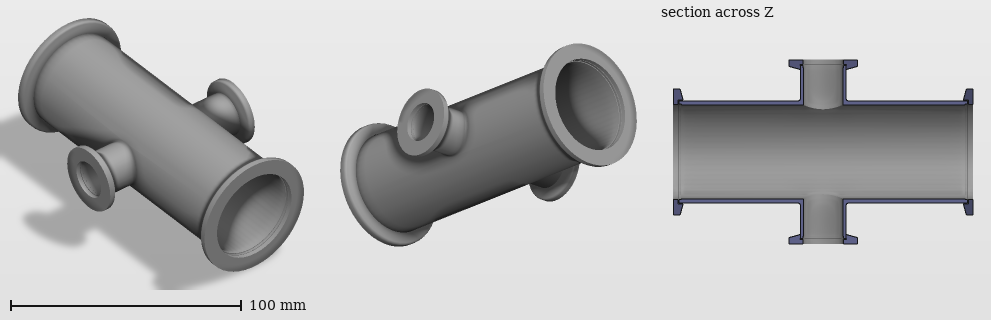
import cadquery as cq
import math

RUN_LENGTH = 130.0
BRANCH_SPAN = 80.0
RUN_OD = 44.5
RUN_ID = 40.5
BRANCH_OD = 20.0
BRANCH_ID = 17.0
JUNCTION_FILLET = 0.9

RUN_FLANGE_OD = 55.0
RUN_FLANGE_BORE = 41.2
RUN_SOCKET_DIAMETER = 44.7
RUN_RIM_RADIUS = 1.2
RUN_FLANGE_THICKNESS = 4.4
BRANCH_FLANGE_OD = 30.0
BRANCH_FLANGE_BORE = 17.2
BRANCH_SOCKET_DIAMETER = 20.2
BRANCH_RIM_RADIUS = 0.85
BRANCH_FLANGE_THICKNESS = 4.3
FLANGE_BACK_ANGLE = 15.0

SOCKET_FLOOR = 2.1
SOCKET_GAP = 0.3
PIPE_END = SOCKET_FLOOR + SOCKET_GAP
PIPE_STEP = 3.5


def centred_cylinder(plane, diameter, length):
    """Cylinder centred on the origin, along the normal of the plane."""
    return cq.Workplane(plane).circle(diameter / 2).extrude(length / 2, both=True)


def end_counterbores(plane, diameter, span):
    """Two discs that widen the pipe ends to the flange bore, down to the step."""
    core = centred_cylinder(plane, diameter, span - 2 * PIPE_STEP)
    return centred_cylinder(plane, diameter, span).cut(core)


def make_cross_pipe():
    """Hollow pipe with a filleted branch on each side, ending just short of the socket floors."""
    run_pipe_length = RUN_LENGTH - 2 * PIPE_END
    branch_pipe_length = BRANCH_SPAN - 2 * PIPE_END
    run = centred_cylinder("YZ", RUN_OD, run_pipe_length)
    branches = centred_cylinder("XZ", BRANCH_OD, branch_pipe_length)
    body = run.union(branches)

    junction_zone = cq.selectors.BoxSelector(
        (-BRANCH_OD, -RUN_OD / 2, -BRANCH_OD),
        (BRANCH_OD, RUN_OD / 2, BRANCH_OD),
    )
    body = body.edges(junction_zone).fillet(JUNCTION_FILLET)

    body = body.cut(centred_cylinder("YZ", RUN_ID, run_pipe_length))
    body = body.cut(centred_cylinder("XZ", BRANCH_ID, branch_pipe_length))
    body = body.cut(end_counterbores("YZ", RUN_FLANGE_BORE, RUN_LENGTH))
    return body.cut(end_counterbores("XZ", BRANCH_FLANGE_BORE, BRANCH_SPAN))


def make_flange(outer_diameter, bore, socket_diameter, rim_radius, thickness):
    """Flange revolved about Z, with its sealing face at Z = 0 and its back towards +Z."""
    outer_radius = outer_diameter / 2
    bore_radius = bore / 2
    socket_radius = socket_diameter / 2
    back_angle = math.radians(FLANGE_BACK_ANGLE)

    corner_height = thickness - (outer_radius - socket_radius) * math.tan(back_angle)

    sweep = math.pi / 2 - back_angle
    arc_centre_radius = outer_radius - rim_radius
    arc_centre_height = corner_height - rim_radius * math.tan(sweep / 2)

    def rim_point(angle):
        return (
            arc_centre_radius + rim_radius * math.cos(angle),
            arc_centre_height + rim_radius * math.sin(angle),
        )

    return (
        cq.Workplane("XZ")
        .moveTo(bore_radius, 0)
        .lineTo(outer_radius, 0)
        .lineTo(*rim_point(0))
        .threePointArc(rim_point(sweep / 2), rim_point(sweep))
        .lineTo(socket_radius, thickness)
        .lineTo(socket_radius, SOCKET_FLOOR)
        .lineTo(bore_radius, SOCKET_FLOOR)
        .close()
        .revolve(360, (0, 0, 0), (0, 1, 0))
    )


def make_flange_pair(flange, span, axis):
    """Two copies of the flange, facing outward at the ends of a span along the axis."""
    copies = []
    for side in (-1, 1):
        outward = cq.Vector(*axis) * side
        face_plane = cq.Plane(origin=outward * (span / 2), xDir=(0, 0, 1), normal=outward * -1)
        copies.append(flange.val().moved(cq.Location(face_plane)))
    return copies


cross_pipe = make_cross_pipe()
run_flange = make_flange(
    RUN_FLANGE_OD, RUN_FLANGE_BORE, RUN_SOCKET_DIAMETER, RUN_RIM_RADIUS, RUN_FLANGE_THICKNESS
)
branch_flange = make_flange(
    BRANCH_FLANGE_OD, BRANCH_FLANGE_BORE, BRANCH_SOCKET_DIAMETER, BRANCH_RIM_RADIUS,
    BRANCH_FLANGE_THICKNESS,
)
run_flanges = make_flange_pair(run_flange, RUN_LENGTH, (1, 0, 0))
branch_flanges = make_flange_pair(branch_flange, BRANCH_SPAN, (0, 1, 0))

result = cq.Compound.makeCompound([cross_pipe.val(), *run_flanges, *branch_flanges])